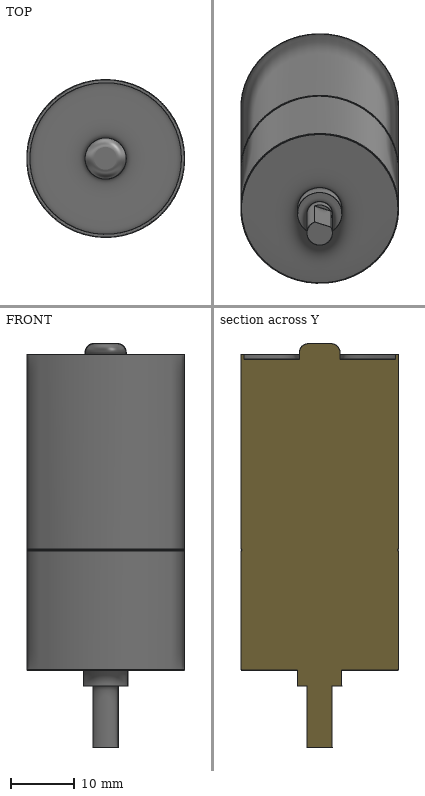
import cadquery as cq

total_height = 63.95
body_diameter = 25.0
shaft_diameter = 4.0
boss_diameter = 7.05
knob_diameter = 6.5

boss_bottom = 9.7
body_bottom = 12.2
body_top = 62.2

seam_height = 31.3
edge_bevel = 0.1

rim_thickness = 0.5
recess_depth = 0.75

knob_fillet = 1.5

flat_depth = 0.5
flat_top = 8.0

recess_floor = body_top - recess_depth


def cylinder(diameter, bottom, top):
    """Cylinder on the motor axis between two heights."""
    return cq.Workplane("XY").workplane(offset=bottom).circle(diameter / 2).extrude(top - bottom)


def make_gearbox():
    """Lower housing, bevelled at both ends."""
    return cylinder(body_diameter, body_bottom, seam_height).faces("<Z or >Z").chamfer(edge_bevel)


def make_can():
    """Upper housing, bevelled at the seam and recessed inside its upper rim."""
    can = cylinder(body_diameter, seam_height, body_top).faces("<Z").chamfer(edge_bevel)
    recess = cylinder(body_diameter - 2 * rim_thickness, recess_floor, body_top)
    return can.cut(recess)


def make_shaft():
    """Output shaft with a flat running from its tip."""
    shaft = cylinder(shaft_diameter, 0, body_bottom)
    flat_cut = cq.Workplane("XY").box(
        shaft_diameter, flat_depth, flat_top, centered=(True, False, False)
    ).translate((0, shaft_diameter / 2 - flat_depth, 0))
    return shaft.cut(flat_cut)


def make_knob():
    """Rounded bearing cap on the recessed face."""
    return cylinder(knob_diameter, recess_floor, total_height).faces(">Z").edges().fillet(knob_fillet)


boss = cylinder(boss_diameter, boss_bottom, body_bottom)
result = make_gearbox().union(make_can()).union(boss).union(make_shaft()).union(make_knob())